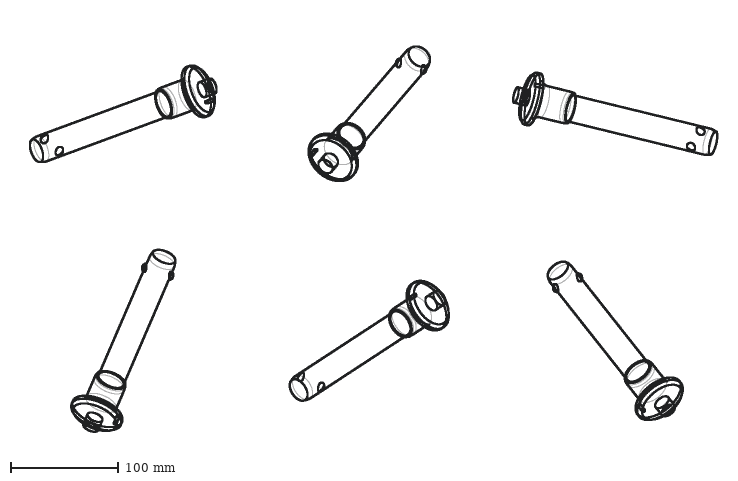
import cadquery as cq
import math

total_length = 196.8
tip_y = -total_length / 2
button_end_y = total_length / 2

button_radius = 7.5
button_length = 11.5
cap_radius = 25.0
cap_chamfer = 3.1
rim_width = 3.5
flare_radius = 9.8
barrel_radius = cap_radius - flare_radius
barrel_length = 21.5
collar_width = 3.3
collar_end_radius = 15.0
lip_radius = 14.4
lip_width = 1.8

shank_radius = 12.5
tip_length = 5.5
tip_face_radius = 11.2
tip_bulge = 0.2

ball_radius = 4.5
ball_reach = 15.4
ball_from_tip = 17.3

lanyard_hole_radius = 1.4
lanyard_hole_offset = 19.9

cap_back_y = button_end_y - button_length
rim_back_y = cap_back_y - cap_chamfer
rim_front_y = rim_back_y - rim_width
flare_end_y = rim_front_y - flare_radius
barrel_end_y = flare_end_y - barrel_length
collar_end_y = barrel_end_y - collar_width
lip_end_y = collar_end_y - lip_width
tip_start_y = tip_y + tip_length


def make_body():
    """Revolve the half profile of the button, handle and shank about Y."""
    flare_reach = flare_radius * math.sqrt(0.5)
    flare_middle = (cap_radius - flare_reach, flare_end_y + flare_reach)
    tip_middle = ((shank_radius + tip_face_radius) / 2 + tip_bulge, tip_y + tip_length / 2)
    return (
        cq.Workplane("XY")
        .moveTo(0, button_end_y)
        .lineTo(button_radius, button_end_y)
        .lineTo(button_radius, cap_back_y)
        .lineTo(cap_radius - cap_chamfer, cap_back_y)
        .lineTo(cap_radius, rim_back_y)
        .lineTo(cap_radius, rim_front_y)
        .threePointArc(flare_middle, (barrel_radius, flare_end_y))
        .lineTo(barrel_radius, barrel_end_y)
        .lineTo(collar_end_radius, collar_end_y)
        .lineTo(lip_radius, lip_end_y)
        .lineTo(shank_radius, lip_end_y)
        .lineTo(shank_radius, tip_start_y)
        .threePointArc(tip_middle, (tip_face_radius, tip_y))
        .lineTo(0, tip_y)
        .close()
        .revolve(360, (0, 0, 0), (0, 1, 0))
    )


def make_ball(side):
    """Locking ball protruding from the shank on the given X side."""
    center_x = side * (ball_reach - ball_radius)
    return cq.Workplane("XY").sphere(ball_radius).translate((center_x, tip_y + ball_from_tip, 0))


def make_lanyard_hole():
    """Cutter along Y through the cap and its flare."""
    return (
        cq.Workplane("XZ", origin=(lanyard_hole_offset, cap_back_y, 0))
        .circle(lanyard_hole_radius)
        .extrude(cap_back_y - flare_end_y)
    )


result = make_body()
for side in (-1, 1):
    result = result.union(make_ball(side))
result = result.cut(make_lanyard_hole())